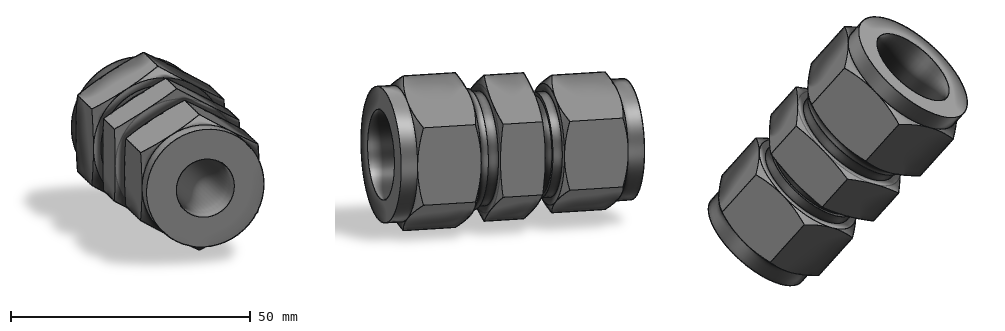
import cadquery as cq
import math

LENGTH = 53.6
COLLAR_LENGTH = 3.6
NUT_HEX_LENGTH = 13.9
BODY_HEX_LENGTH = 9.75
NUT_RING_LENGTH = 2.05

LARGE_NUT_FLATS = 28.55
BODY_FLATS = 26.95
SMALL_NUT_FLATS = 25.4

LARGE_RING_DIAMETER = 25.4
LARGE_NECK_DIAMETER = 24.0
SMALL_RING_DIAMETER = 22.2
SMALL_NECK_DIAMETER = 20.7

NUT_CHAMFER_ANGLE = 30.0
BODY_CHAMFER_ANGLE = 15.0

SOCKET_DIAMETER = 18.95
BORE_DIAMETER = 12.55

HEX_SIDES = 6

large_hex_start = COLLAR_LENGTH
large_hex_end = large_hex_start + NUT_HEX_LENGTH
large_ring_end = large_hex_end + NUT_RING_LENGTH
body_hex_start = (LENGTH - BODY_HEX_LENGTH) / 2
body_hex_end = body_hex_start + BODY_HEX_LENGTH
small_hex_end = LENGTH - COLLAR_LENGTH
small_hex_start = small_hex_end - NUT_HEX_LENGTH
small_ring_start = small_hex_start - NUT_RING_LENGTH


def cylinder(start, end, diameter):
    return cq.Workplane("YZ", origin=(start, 0, 0)).circle(diameter / 2).extrude(end - start)


def hexagon(start, end, flats, chamfer_angle):
    """Hexagonal prism with corners at +Z and -Z, turned conically at both ends."""
    inner_radius = flats / 2
    corner_radius = inner_radius / math.cos(math.pi / HEX_SIDES)
    setback = (corner_radius - inner_radius) * math.tan(math.radians(chamfer_angle))

    corners = []
    for index in range(HEX_SIDES):
        angle = math.pi / 2 + 2 * math.pi * index / HEX_SIDES
        corners.append((corner_radius * math.cos(angle), corner_radius * math.sin(angle)))
    prism = cq.Workplane("YZ", origin=(start, 0, 0)).polyline(corners).close().extrude(end - start)

    envelope = (
        cq.Workplane("XY")
        .moveTo(start, 0)
        .lineTo(start, inner_radius)
        .lineTo(start + setback, corner_radius)
        .lineTo(end - setback, corner_radius)
        .lineTo(end, inner_radius)
        .lineTo(end, 0)
        .close()
        .revolve(360, (0, 0, 0), (1, 0, 0))
    )
    return prism.intersect(envelope)


large_nut = cylinder(0, large_hex_start, LARGE_NUT_FLATS).union(
    hexagon(large_hex_start, large_hex_end, LARGE_NUT_FLATS, NUT_CHAMFER_ANGLE)
)
small_nut = cylinder(small_hex_end, LENGTH, SMALL_NUT_FLATS).union(
    hexagon(small_hex_start, small_hex_end, SMALL_NUT_FLATS, NUT_CHAMFER_ANGLE)
)
body = (
    hexagon(body_hex_start, body_hex_end, BODY_FLATS, BODY_CHAMFER_ANGLE)
    .union(cylinder(large_hex_end, large_ring_end, LARGE_RING_DIAMETER))
    .union(cylinder(large_ring_end, body_hex_start, LARGE_NECK_DIAMETER))
    .union(cylinder(body_hex_end, small_ring_start, SMALL_NECK_DIAMETER))
    .union(cylinder(small_ring_start, small_hex_start, SMALL_RING_DIAMETER))
)

socket = cylinder(0, body_hex_start, SOCKET_DIAMETER)
bore = cylinder(0, LENGTH, BORE_DIAMETER)

result = large_nut.union(body).union(small_nut).cut(socket).cut(bore)